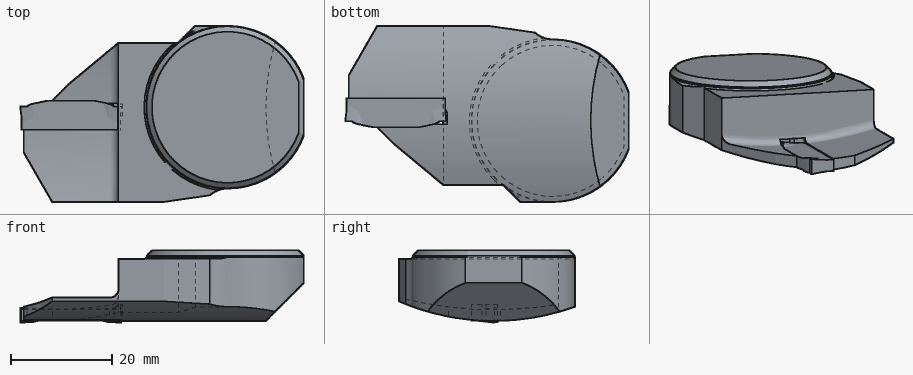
import cadquery as cq
import math


disc_radius = 16.0
disc_chamfer = 1.06
body_radius = 16.1
body_top = -1.35
flat_x = 15.1

shoulder_top = -1.73
flare_radius = body_top - shoulder_top

wall_x = -21.56
blade_tip_x = -40.3
side_y_back = 12.74
bump_corner_x = -6.4
side_y_front = -18.75
blade_shoulder = (-31.3, 4.65)
tip_corner_y = -8.94
tip_bevel_x = -34.66
taper_start_x = -12.68
taper_end = (-3.5, -17.43)

under_radius = 47.0
under_apex_z = -14.0
floor_radius = 75.0
floor_apex_z = -11.7
wall_fillet = 1.6
under_bevel_height = 7.55

insert_length = 20.0
insert_tip_x = -41.0
insert_mid_x = insert_tip_x + insert_length / 2
insert_back_x = insert_tip_x + insert_length
insert_bottom_y = -4.46
head_width = 3.0
web_width = 2.3
insert_lowest_z = -14.33
insert_mid_z = insert_lowest_z + head_width / 2
web_top_z = insert_mid_z + web_width / 2
cutting_edge_y = 0.15
front_relief_y = -1.9
end_setback = 0.25
side_relief_slope = 0.105
land_length = 0.3
land_relief_slope = 0.11
back_taper_slope = 0.058
ramp_slope = 0.27
ramp_foot_top = (-37.45, 0.9)
ramp_foot_bottom = (-38.3, -1.65)

crown = (4.5, 1.32)
crown_shoulder = (6.5, 0.92)
throat_start = (7.6, 0.68)
throat_middle = (8.15, 0.48)
throat_end = (8.65, cutting_edge_y)

pocket_top_z = -10.68
pocket_side_y = 0.7
pocket_seat_y = -2.4
pocket_relief_y = -1.55
pocket_end_gap = 0.15

margin = 10.0


def x_cylinder(radius, apex_z):
    """Cylinder along X whose lowest line is at apex_z."""
    start_x = blade_tip_x - margin
    length = flat_x + margin - start_x
    return (
        cq.Workplane("YZ", origin=(start_x, 0, apex_z + radius))
        .circle(radius)
        .extrude(length)
    )


def holder_outline():
    """Plan of the holder; the +X end is left round."""
    fillet_drop = -body_radius - taper_end[1]
    fillet_radius = (taper_end[0] ** 2 + fillet_drop ** 2) / (2 * fillet_drop)
    half_sweep = math.asin(-taper_end[0] / fillet_radius) / 2
    fillet_middle = (
        -fillet_radius * math.sin(half_sweep),
        -body_radius - fillet_radius * (1 - math.cos(half_sweep)),
    )
    tip_y = blade_shoulder[1] - (blade_shoulder[0] - blade_tip_x)
    bump_start_x = bump_corner_x - (body_radius - side_y_back)
    return (
        cq.Workplane("XY")
        .moveTo(0, body_radius)
        .lineTo(bump_corner_x, body_radius)
        .lineTo(bump_start_x, side_y_back)
        .lineTo(wall_x, side_y_back)
        .lineTo(*blade_shoulder)
        .lineTo(blade_tip_x, tip_y)
        .lineTo(blade_tip_x, tip_corner_y)
        .lineTo(tip_bevel_x, side_y_front)
        .lineTo(taper_start_x, side_y_front)
        .lineTo(*taper_end)
        .threePointArc(fillet_middle, (0, -body_radius))
        .threePointArc((body_radius, 0), (0, body_radius))
        .close()
    )


def make_disc():
    """Clamping disc with its side flat; the top edge is chamfered all round."""
    disc = (
        cq.Workplane("XY")
        .circle(disc_radius)
        .extrude(shoulder_top)
        .faces(">Z")
        .chamfer(disc_chamfer)
    )
    flat_bevel = (
        cq.Workplane("XZ")
        .moveTo(flat_x - disc_chamfer - margin, margin)
        .lineTo(flat_x + margin, margin)
        .lineTo(flat_x + margin, -disc_chamfer - margin)
        .close()
        .extrude(2 * disc_radius, both=True)
    )
    return trim_flat(disc).cut(flat_bevel)


def trim_flat(solid):
    """Cut the +X flat."""
    size = 4 * body_radius
    cutter = cq.Workplane("XY").box(size, size, size).translate((flat_x + size / 2, 0, 0))
    return solid.cut(cutter)


def make_flare():
    """Concave ring blending the round body into the top of the block."""
    outer = body_radius + flare_radius
    bend = flare_radius * (1 - math.sqrt(0.5))
    return (
        cq.Workplane("XZ")
        .moveTo(0, shoulder_top)
        .lineTo(outer, shoulder_top)
        .threePointArc((body_radius + bend, shoulder_top + bend), (body_radius, body_top))
        .lineTo(0, body_top)
        .close()
        .revolve(360, (0, 0, 0), (0, 1, 0))
    )


def make_blade_cutter():
    """Space above the blade, with the round at the foot of the wall."""
    length = wall_x - blade_tip_x + margin
    width = 4 * body_radius
    half_height = margin - floor_apex_z
    space = cq.Workplane("XY").box(length, width, 2 * half_height)
    space = space.translate((wall_x - length / 2, 0, floor_apex_z))
    space = space.intersect(x_cylinder(floor_radius, floor_apex_z))
    return space.faces(">X").edges("<Z").fillet(wall_fillet)


def make_under_bevel():
    """45 degree wedge removed below the +X side."""
    return (
        cq.Workplane("XZ")
        .moveTo(flat_x - under_bevel_height - margin, under_apex_z - margin)
        .lineTo(flat_x + margin, under_apex_z - margin)
        .lineTo(flat_x + margin, under_apex_z + under_bevel_height + margin)
        .close()
        .extrude(2 * body_radius, both=True)
    )


def insert_outline():
    """Plan of the insert, mirrored about its middle."""
    half = insert_length / 2

    def left(point):
        return (insert_mid_x - point[0], point[1])

    def right(point):
        return (insert_mid_x + point[0], point[1])

    tip = (half, cutting_edge_y)
    relief = (half - end_setback, front_relief_y)
    foot = (half - end_setback, insert_bottom_y)
    return (
        cq.Workplane("XY")
        .moveTo(*left(crown))
        .lineTo(*left(crown_shoulder))
        .lineTo(*left(throat_start))
        .threePointArc(left(throat_middle), left(throat_end))
        .lineTo(*left(tip))
        .lineTo(*left(relief))
        .lineTo(*left(foot))
        .lineTo(*right(foot))
        .lineTo(*right(relief))
        .lineTo(*right(tip))
        .lineTo(*right(throat_end))
        .threePointArc(right(throat_middle), right(throat_start))
        .lineTo(*right(crown_shoulder))
        .lineTo(*right(crown))
        .close()
    )


def insert_prism(bottom_z, top_z):
    """Insert plan extruded between two heights."""
    return insert_outline().extrude(top_z - bottom_z).translate((0, 0, bottom_z))


def space_above(point, normal):
    """Large block on the side of a plane that its normal points to."""
    plane = cq.Plane(origin=point, normal=normal)
    return cq.Workplane(plane).rect(4 * insert_length, 4 * insert_length).extrude(margin)


def slab_above_web():
    """Layer between the web and the full head width, wider than the insert."""
    size = 2 * insert_length
    layer = cq.Workplane("XY").rect(size, size).extrude((head_width - web_width) / 2)
    return layer.translate((insert_mid_x, 0, web_top_z))


def make_head_wedge():
    """Raised wedge of the tip-end head: tapered sides, an end land and a ramp down to the web."""
    edge_z = insert_mid_z + head_width / 2
    land = space_above((insert_tip_x, cutting_edge_y, edge_z), (0, -land_relief_slope, 1))
    land_end = (insert_tip_x + land_length, cutting_edge_y, edge_z)
    relief = space_above(land_end, (back_taper_slope, -side_relief_slope, 1))
    run_x = ramp_foot_top[0] - ramp_foot_bottom[0]
    run_y = ramp_foot_top[1] - ramp_foot_bottom[1]
    run = math.hypot(run_x, run_y)
    ramp_normal = (ramp_slope * run_y / run, -ramp_slope * run_x / run, 1)
    ramp = space_above((*ramp_foot_top, web_top_z), ramp_normal)
    return slab_above_web().cut(land).cut(relief).cut(ramp)


def make_insert():
    """Full-width insert, lowered to the web on both sides except at the heads."""
    wedge = make_head_wedge()
    other_wedge = wedge.mirror("YZ", (insert_mid_x, 0, 0))
    clearance = slab_above_web().cut(wedge).cut(other_wedge)
    half_width = head_width / 2
    insert = insert_prism(insert_mid_z - half_width, insert_mid_z + half_width)
    insert = insert.cut(clearance)
    return insert.cut(clearance.mirror("XY", (0, 0, insert_mid_z)))


def make_pocket():
    """Through pocket shaped like the insert, relieved behind its inner cutting edge."""
    depth = under_apex_z - margin
    height = pocket_top_z - depth
    inner_x = insert_mid_x + throat_start[0]
    seat_x = insert_back_x - end_setback
    relief_x = insert_back_x + pocket_end_gap
    inner_end = (
        cq.Workplane("XY", origin=(0, 0, depth))
        .moveTo(inner_x, insert_bottom_y)
        .lineTo(seat_x, insert_bottom_y)
        .lineTo(seat_x, pocket_seat_y)
        .lineTo(relief_x, pocket_relief_y)
        .lineTo(relief_x, pocket_side_y)
        .lineTo(inner_x, pocket_side_y)
        .close()
        .extrude(height)
    )
    return insert_prism(depth, pocket_top_z).union(inner_end)


def make_holder():
    """Body, blade and clamping disc as one solid, with the insert pocket."""
    depth = under_apex_z - margin
    block = holder_outline().extrude(depth - shoulder_top).translate((0, 0, shoulder_top))
    flare = make_flare().intersect(holder_outline().extrude(shoulder_top))
    body = block.union(flare)
    body = body.intersect(x_cylinder(under_radius, under_apex_z))
    body = trim_flat(body).cut(make_under_bevel())
    body = body.cut(make_blade_cutter())
    return body.union(make_disc()).cut(make_pocket())


holder = make_holder()
insert = make_insert()

result = cq.Compound.makeCompound([holder.val(), insert.val()])